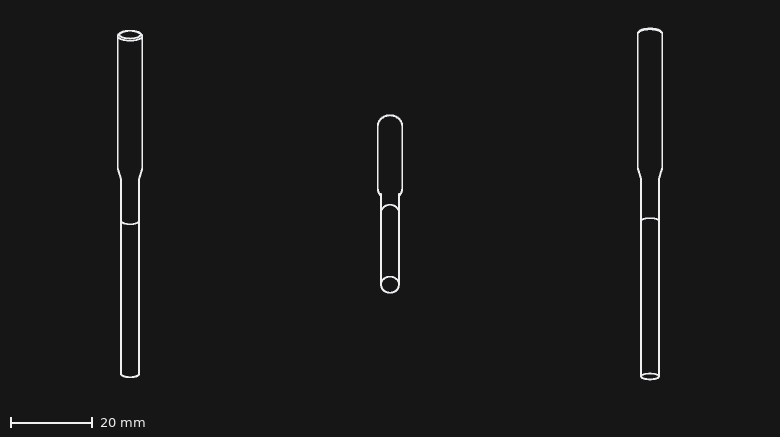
import cadquery as cq
import math

overall_length = 90.0
shank_diameter = 6.0
cutting_diameter = 4.4
neck_diameter = cutting_diameter

shank_chamfer = 0.405

shank_bottom = 54.8
taper_bottom = 51.9
cutting_top = 41.0

point_angle = 140.0

shank_radius = shank_diameter / 2
neck_radius = neck_diameter / 2
cutting_radius = cutting_diameter / 2
point_height = cutting_radius / math.tan(math.radians(point_angle / 2))


def revolve_about_axis(profile):
    """Turn a closed outline of (radius, height) points about the Z axis."""
    return cq.Workplane("XZ").polyline(profile).close().revolve(360, (0, 0), (0, 1))


def make_shank():
    """Chamfered shank with a taper leading down to the neck."""
    return revolve_about_axis([
        (0, cutting_top),
        (neck_radius, cutting_top),
        (neck_radius, taper_bottom),
        (shank_radius, shank_bottom),
        (shank_radius, overall_length - shank_chamfer),
        (shank_radius - shank_chamfer, overall_length),
        (0, overall_length),
    ])


def make_cutting_part():
    """Plain cylinder below the neck, ending in the conical point."""
    return revolve_about_axis([
        (0, 0),
        (cutting_radius, point_height),
        (cutting_radius, cutting_top),
        (0, cutting_top),
    ])


shank = make_shank()
cutting_part = make_cutting_part()

result = cq.Compound.makeCompound([shank.val(), cutting_part.val()])